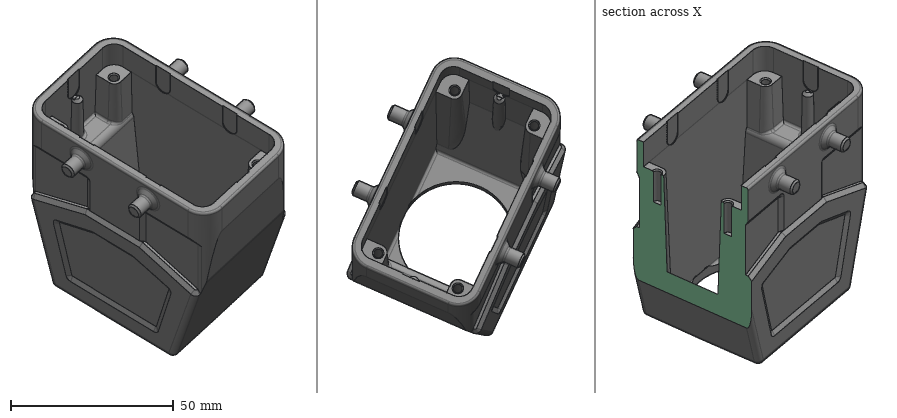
import cadquery as cq
import math

HEIGHT = 72.0
OVERLAP = 1.0

COLLAR_LENGTH = 73.0
COLLAR_WIDTH = 42.7
COLLAR_RADIUS = 7.5
RIM_FILLET = 0.8
TAPER_START_Z = 61.0
KNEE_Z = 40.0
KNEE_HALF_LENGTH = 34.45
COLLAR_BASE_Z = 20.0
BASE_HALF_LENGTH = 24.0
KNEE_FILLET = 5.0
END_SLOPE = (KNEE_HALF_LENGTH - BASE_HALF_LENGTH) / KNEE_Z

HOUSING_WIDTH = 45.3
SHOULDER_TOP_Z = 44.1
SHOULDER_HALF_LENGTH = 11.0
SHOULDER_END_Z = 36.1
SHOULDER_CHAMFER = 1.35
HOUSING_FILLET = 2.0
BOTTOM_RIDGE = 0.25

CORNER_RECESS_DEPTH = 1.0
CORNER_RECESS_SLOPE = 1.8
CORNER_RECESS_TOP_Z = 59.1
CORNER_RECESS_INNER_X = 9.8
CORNER_RECESS_FILLET = 1.8
CORNER_OFFSET = COLLAR_RADIUS - CORNER_RECESS_DEPTH
RECESS_END_X = COLLAR_LENGTH / 2 - COLLAR_RADIUS + math.sqrt(COLLAR_RADIUS**2 - CORNER_OFFSET**2)

PANEL_DEPTH = 1.0
PANEL_SLOPE = 1.6
PANEL_FLOOR_RADIUS = 0.3
PANEL_TOP_HALF = 7.8
PANEL_TOP_Z = 35.3
PANEL_SIDE_HALF = 21.8
PANEL_SIDE_Z = 30.6
PANEL_BOTTOM_HALF = 16.7
PANEL_BOTTOM_Z = 9.3

PIN_DIAMETER = 5.0
PIN_SPAN = 57.0
PIN_X = 13.25
PIN_Z = 66.0
PIN_TIP_CHAMFER = 0.6
PIN_FLARE = 2.1
PIN_FLARE_ANGLE = 45.0
PIN_FLARE_RADIUS = 0.9

MOUTH_LENGTH = 66.8
MOUTH_WIDTH = 37.2
MOUTH_RADIUS = 4.5
SEAT_Z = 62.4
FLOOR_Z = 3.0
FLOOR_WIDTH = 34.6
FLOOR_RIGHT_X = 22.7
FLOOR_LEFT_X = -20.0
RIGHT_KNEE_X = 32.2
LEDGE_Z = 45.0
LEDGE_INNER_X = -24.6
LEDGE_EDGE_FILLET = 2.5
LEDGE_ROOT_FILLET = 0.9
CAVITY_FILLET = 1.0
OUTLET_DIAMETER = 35.6

POST_INNER_X = 25.7
POST_INNER_Y = 10.9
POST_RADIUS = 2.5
POST_DRAFT = 2.0
SCREW_X = 28.5
SCREW_Y = 13.5
SCREW_DIAMETER = 2.7
SCREW_MOUTH_DIAMETER = 3.5
SCREW_DEPTH = 12.0
CONE_ANGLE = 45.0

RIB_X = 32.1
RIB_TOP_RADIUS = 1.75
RIB_DRAFT = 1.0
RIB_TIP_HEIGHT = 1.0

GROOVE_WIDTH = 5.6
GROOVE_DEPTH = 0.3
GROOVE_END_Z = 61.7


def prism_xz(points, width):
    """Prism along Y, centred on the XZ plane."""
    return cq.Workplane("XZ").polyline(points).close().extrude(width / 2, both=True)


def prism_yz(points, length):
    """Prism along X, centred on the YZ plane."""
    return cq.Workplane("YZ").polyline(points).close().extrude(length / 2, both=True)


def mirrored(points):
    """Outline closed by reflecting the points about the vertical axis."""
    return points + [(-u, v) for u, v in reversed(points)]


def on_both_long_sides(shape):
    return shape.union(shape.mirror("XZ"))


def make_collar():
    half = COLLAR_LENGTH / 2
    collar = (
        cq.Workplane("XY")
        .rect(COLLAR_LENGTH, COLLAR_WIDTH)
        .extrude(HEIGHT)
        .edges("|Z")
        .fillet(COLLAR_RADIUS)
        .faces(">Z")
        .edges()
        .fillet(RIM_FILLET)
    )
    profile = mirrored([
        (BASE_HALF_LENGTH + END_SLOPE * COLLAR_BASE_Z, COLLAR_BASE_Z),
        (KNEE_HALF_LENGTH, KNEE_Z),
        (half, TAPER_START_Z),
        (half, HEIGHT),
    ])
    knees = cq.selectors.BoxSelector(
        (-COLLAR_LENGTH, -COLLAR_WIDTH, KNEE_Z - OVERLAP),
        (COLLAR_LENGTH, COLLAR_WIDTH, KNEE_Z + OVERLAP),
    )
    envelope = prism_xz(profile, COLLAR_WIDTH).edges("|Y").edges(knees).fillet(KNEE_FILLET)
    return collar.intersect(envelope)


def make_corner_recess():
    """Recess on the -Y side at the +X end, running off the collar's end and into the housing."""
    floor_y = -(COLLAR_WIDTH / 2 - CORNER_RECESS_DEPTH)
    inner_x = CORNER_RECESS_INNER_X + CORNER_RECESS_SLOPE
    top_z = CORNER_RECESS_TOP_Z - CORNER_RECESS_SLOPE
    slope_angle = math.degrees(math.atan2(CORNER_RECESS_SLOPE, CORNER_RECESS_DEPTH))
    return (
        cq.Workplane("XZ", origin=(0, floor_y, 0))
        .moveTo(inner_x, COLLAR_BASE_Z)
        .lineTo(COLLAR_LENGTH, COLLAR_BASE_Z)
        .lineTo(COLLAR_LENGTH, top_z)
        .lineTo(inner_x, top_z)
        .close()
        .extrude(CORNER_RECESS_DEPTH, taper=-slope_angle)
    )


def make_housing():
    outline = mirrored([
        (BASE_HALF_LENGTH, 0),
        (BASE_HALF_LENGTH + END_SLOPE * SHOULDER_END_Z, SHOULDER_END_Z),
        (SHOULDER_HALF_LENGTH, SHOULDER_TOP_Z),
    ])
    half_width = HOUSING_WIDTH / 2
    section = [
        (-half_width, HEIGHT),
        (-half_width, BOTTOM_RIDGE),
        (0, 0),
        (half_width, BOTTOM_RIDGE),
        (half_width, HEIGHT),
    ]
    housing = prism_xz(outline, HOUSING_WIDTH).intersect(prism_yz(section, COLLAR_LENGTH))
    shoulder_zone = cq.selectors.BoxSelector(
        (-COLLAR_LENGTH, -HOUSING_WIDTH, SHOULDER_END_Z + OVERLAP),
        (COLLAR_LENGTH, HOUSING_WIDTH, HEIGHT),
    )
    end_zone = cq.selectors.BoxSelector(
        (-COLLAR_LENGTH, -HOUSING_WIDTH, -OVERLAP),
        (COLLAR_LENGTH, HOUSING_WIDTH, SHOULDER_END_Z - OVERLAP),
    )
    rounded_edges = housing.faces("<Y or >Y").edges(end_zone).add(housing.faces("<X or >X").edges("<Z"))
    housing = rounded_edges.fillet(HOUSING_FILLET)
    return housing.faces("<Y or >Y").edges(shoulder_zone).chamfer(SHOULDER_CHAMFER)


def make_label_panel():
    """Panel cutter on the -Y side, widening outwards from its floor."""
    slope_angle = math.degrees(math.atan2(PANEL_SLOPE, PANEL_DEPTH))
    outline = mirrored([
        (PANEL_BOTTOM_HALF, PANEL_BOTTOM_Z),
        (PANEL_SIDE_HALF, PANEL_SIDE_Z),
        (PANEL_TOP_HALF, PANEL_TOP_Z),
    ])
    return (
        cq.Workplane("XZ", origin=(0, PANEL_DEPTH - HOUSING_WIDTH / 2, 0))
        .sketch()
        .polygon(outline + outline[:1])
        .vertices()
        .fillet(PANEL_FLOOR_RADIUS)
        .finalize()
        .extrude(PANEL_DEPTH, taper=-slope_angle)
    )


def make_pin():
    """Pin on the -Y side at +X, flared where it meets the collar."""
    radius = PIN_DIAMETER / 2
    root = COLLAR_WIDTH / 2
    tip = PIN_SPAN / 2
    wide = radius + PIN_FLARE
    flare_angle = math.radians(PIN_FLARE_ANGLE)
    half_angle = flare_angle / 2
    arc_short = PIN_FLARE_RADIUS * (1 - math.cos(half_angle))
    arc_long = PIN_FLARE_RADIUS * math.sin(half_angle)
    end_short = PIN_FLARE_RADIUS * (1 - math.cos(flare_angle))
    end_long = PIN_FLARE_RADIUS * math.sin(flare_angle)
    return (
        cq.Workplane("XY")
        .moveTo(0, OVERLAP - root)
        .lineTo(wide, OVERLAP - root)
        .lineTo(wide, -root)
        .threePointArc((wide - arc_long, -root - arc_short), (wide - end_long, -root - end_short))
        .lineTo(radius + end_short, -root - PIN_FLARE + end_long)
        .threePointArc((radius + arc_short, -root - PIN_FLARE + arc_long), (radius, -root - PIN_FLARE))
        .lineTo(radius, PIN_TIP_CHAMFER - tip)
        .lineTo(radius - PIN_TIP_CHAMFER, -tip)
        .lineTo(0, -tip)
        .close()
        .revolve(360, (0, 0, 0), (0, 1, 0))
        .translate((PIN_X, 0, PIN_Z))
    )


def make_chamber():
    """Tapering chamber below the mouth, with a ledge across its -X end."""
    half = MOUTH_LENGTH / 2
    profile = [
        (FLOOR_LEFT_X, FLOOR_Z),
        (FLOOR_RIGHT_X, FLOOR_Z),
        (RIGHT_KNEE_X, KNEE_Z),
        (half, SEAT_Z),
        (-half, SEAT_Z),
        (-half, LEDGE_Z),
        (LEDGE_INNER_X, LEDGE_Z),
    ]
    shape = prism_xz(profile, MOUTH_WIDTH)
    ledge_edge = cq.selectors.NearestToPointSelector((LEDGE_INNER_X, 0, LEDGE_Z))
    shape = shape.edges("|Y").edges(ledge_edge).fillet(LEDGE_EDGE_FILLET)
    section = mirrored([(FLOOR_WIDTH / 2, FLOOR_Z), (MOUTH_WIDTH / 2, SEAT_Z)])
    chamber = shape.intersect(prism_yz(section, 2 * MOUTH_LENGTH))
    return chamber.faces("<Z").edges().fillet(CAVITY_FILLET)


def make_mouth():
    return (
        cq.Workplane("XY", origin=(0, 0, SEAT_Z))
        .rect(MOUTH_LENGTH, MOUTH_WIDTH)
        .extrude(HEIGHT - SEAT_Z)
        .edges("|Z")
        .fillet(MOUTH_RADIUS)
    )


def make_posts():
    """Four drafted corner posts, widening downwards from the seat."""
    posts = cq.Workplane("XY")
    size_x = COLLAR_LENGTH / 2 - POST_INNER_X
    size_y = COLLAR_WIDTH / 2 - POST_INNER_Y
    for side_x in (-1, 1):
        for side_y in (-1, 1):
            post = (
                cq.Workplane("XY", origin=(0, 0, SEAT_Z))
                .center(side_x * (POST_INNER_X + size_x / 2), side_y * (POST_INNER_Y + size_y / 2))
                .sketch()
                .rect(size_x, size_y)
                .vertices()
                .fillet(POST_RADIUS)
                .finalize()
                .extrude(FLOOR_Z - SEAT_Z, taper=-POST_DRAFT)
            )
            posts = posts.union(post)
    return posts


def make_ribs():
    """Drafted half-round ribs with conical tips."""
    ribs = cq.Workplane("XY")
    shank_top_z = SEAT_Z - RIB_TIP_HEIGHT
    for side_x in (-1, 1):
        plane = cq.Workplane("XY", origin=(side_x * RIB_X, 0, shank_top_z))
        shank = plane.circle(RIB_TOP_RADIUS).extrude(FLOOR_Z - shank_top_z, taper=-RIB_DRAFT)
        tip = plane.circle(RIB_TOP_RADIUS).extrude(RIB_TIP_HEIGHT, taper=CONE_ANGLE)
        ribs = ribs.union(shank).union(tip)
    return ribs


def make_screw_holes():
    chamfer = (SCREW_MOUTH_DIAMETER - SCREW_DIAMETER) / 2
    points = [(sx * SCREW_X, sy * SCREW_Y) for sx in (-1, 1) for sy in (-1, 1)]
    plane = cq.Workplane("XY", origin=(0, 0, SEAT_Z)).pushPoints(points)
    holes = plane.circle(SCREW_DIAMETER / 2).extrude(-SCREW_DEPTH)
    mouths = plane.circle(SCREW_MOUTH_DIAMETER / 2).extrude(-chamfer, taper=CONE_ANGLE)
    return holes.union(mouths)


def make_groove(wall_distance, angle, offset):
    """Round-ended groove cut into the mouth wall that faces the given direction."""
    end_centre_z = GROOVE_END_Z + GROOVE_WIDTH / 2
    groove = (
        cq.Workplane("YZ", origin=(wall_distance - OVERLAP, 0, 0))
        .moveTo(offset - GROOVE_WIDTH / 2, HEIGHT)
        .lineTo(offset - GROOVE_WIDTH / 2, end_centre_z)
        .threePointArc((offset, GROOVE_END_Z), (offset + GROOVE_WIDTH / 2, end_centre_z))
        .lineTo(offset + GROOVE_WIDTH / 2, HEIGHT)
        .close()
        .extrude(OVERLAP + GROOVE_DEPTH)
    )
    return groove.rotate((0, 0, 0), (0, 0, 1), angle)


def make_recessed_collar():
    """Collar with its four corner recesses, each blended into the rounded collar corner."""
    recess = make_corner_recess()
    collar = make_collar().cut(on_both_long_sides(recess.union(recess.mirror("YZ"))))
    blend_y = COLLAR_WIDTH / 2 - CORNER_RECESS_DEPTH
    blend_z = (KNEE_Z + CORNER_RECESS_TOP_Z) / 2
    for x in (-RECESS_END_X, RECESS_END_X):
        for y in (-blend_y, blend_y):
            blend_edge = cq.selectors.NearestToPointSelector((x, y, blend_z))
            collar = collar.edges("|Z").edges(blend_edge).fillet(CORNER_RECESS_FILLET)
    return collar


def make_cavity():
    """Mouth and chamber, leaving the posts and ribs standing."""
    chamber = make_chamber().cut(make_posts()).cut(make_ribs())
    ledge_roots = cq.selectors.BoxSelector(
        (-MOUTH_LENGTH, -POST_INNER_Y, LEDGE_Z - OVERLAP),
        (LEDGE_INNER_X - LEDGE_EDGE_FILLET, POST_INNER_Y, LEDGE_Z + OVERLAP),
    )
    return chamber.edges(ledge_roots).fillet(LEDGE_ROOT_FILLET).union(make_mouth())


def cut_grooves(shape):
    """One groove in each end wall and one behind each pin."""
    for facing in (0, 180):
        shape = shape.cut(make_groove(MOUTH_LENGTH / 2, facing, 0))
    for facing in (90, 270):
        for pin_side in (-PIN_X, PIN_X):
            shape = shape.cut(make_groove(MOUTH_WIDTH / 2, facing, pin_side))
    return shape


body = make_recessed_collar().union(make_housing())
body = body.cut(on_both_long_sides(make_label_panel()))

pin = make_pin()
body = body.union(on_both_long_sides(pin.union(pin.mirror("YZ"))))

body = body.cut(make_cavity()).cut(make_screw_holes())
body = cut_grooves(body)

outlet = cq.Workplane("XY").circle(OUTLET_DIAMETER / 2).extrude(FLOOR_Z + CAVITY_FILLET)
result = body.cut(outlet)